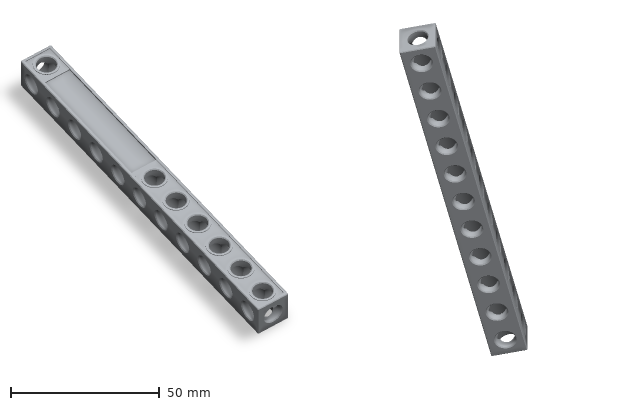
import cadquery as cq

hole_count = 11
length = 137.5
width = 12.5
pitch = length / hole_count
edge_chamfer = 0.3

hole_diameter = 7.0
hole_chamfer = 0.35

recess_depth = 0.3
border = 1.1
rim_diameter = 9.2

panel_first_cell = 1
panel_cells = 4
panel_depth = 0.7
panel_thickness = 1.4

half_width = width / 2
recess_width = width - 2 * border
centers = [(i - (hole_count - 1) / 2) * pitch for i in range(hole_count)]
panel_end_cell = panel_first_cell + panel_cells
open_centers = centers[:panel_first_cell] + centers[panel_end_cell:]
panel_center = (centers[panel_first_cell] + centers[panel_end_cell - 1]) / 2


def hole_cutter(depth):
    """Hole along Z, centred on the origin, widened by a chamfer at both mouths."""
    radius = hole_diameter / 2
    mouth_radius = radius + hole_chamfer
    half = depth / 2
    profile = [
        (0, -half),
        (mouth_radius, -half),
        (radius, -half + hole_chamfer),
        (radius, half - hole_chamfer),
        (mouth_radius, half),
        (0, half),
    ]
    return cq.Workplane("XZ").polyline(profile).close().revolve(360, (0, 0, 0), (0, 1, 0))


def top_recess():
    """Recess volume, with the rims of the open holes left out of it."""
    floor = cq.Workplane("XY").workplane(offset=half_width - recess_depth)
    recess = floor.rect(length - 2 * border, recess_width).extrude(recess_depth)
    rims = floor.pushPoints([(x, 0) for x in open_centers]).circle(rim_diameter / 2).extrude(recess_depth)
    return recess.cut(rims)


def panel_block(top, thickness):
    """Block over the panel cells, reaching down by thickness from the height top."""
    base = cq.Workplane("XY").workplane(offset=top - thickness).center(panel_center, 0)
    return base.rect(panel_cells * pitch, recess_width).extrude(thickness)


beam = cq.Workplane("XY").box(length, width, width).edges().chamfer(edge_chamfer)
vertical_hole = hole_cutter(width)
cross_hole = vertical_hole.rotate((0, 0, 0), (1, 0, 0), 90)
for x in centers:
    beam = beam.cut(vertical_hole.translate((x, 0, 0)))
    beam = beam.cut(cross_hole.translate((x, 0, 0)))
beam = beam.cut(hole_cutter(length).rotate((0, 0, 0), (0, 1, 0), 90))

beam = beam.cut(top_recess())
beam = beam.cut(panel_block(half_width, panel_depth))
beam = beam.union(panel_block(half_width - panel_depth, panel_thickness))

result = beam